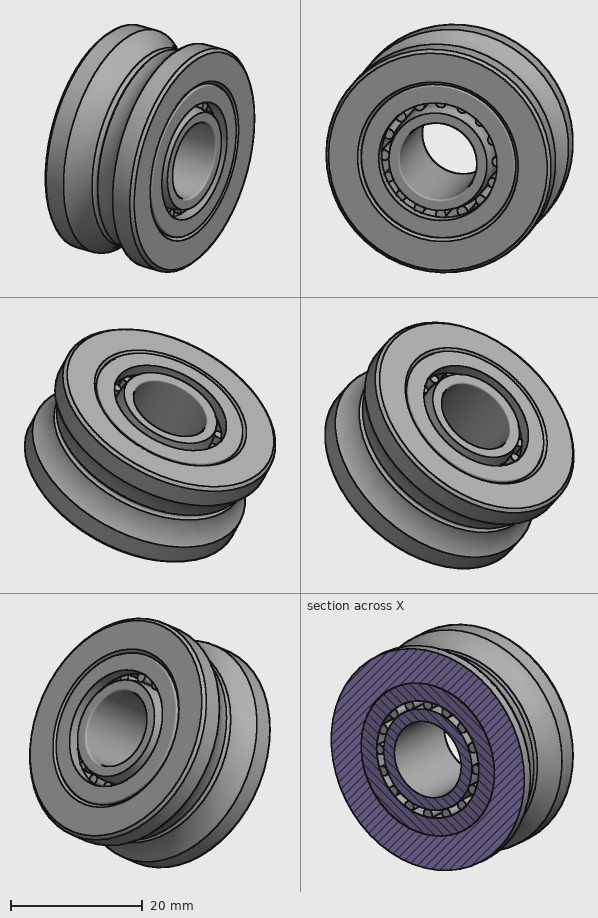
import cadquery as cq
import math


tyre_radius = 17.5
tyre_width = 16.0
tyre_edge_chamfer = 0.5
groove_half_width = 4.4
groove_arc_radius = 6.02
relief_radius = 0.5
seat_mouth_chamfer = 0.5

bearing_radius = 12.0
bearing_width = tyre_width
bearing_edge_fillet = 0.28
bore_radius = 6.0

lip_width = 2.0
race_width = bearing_width - 2 * lip_width
outer_lip_radius = 9.2
outer_race_radius = 9.5
inner_race_radius = 8.0
inner_face_radius = 7.63

roller_count = 16
roller_radius = 0.77
roller_pitch_radius = (outer_race_radius + inner_race_radius) / 2
roller_length = race_width


def cylinder(radius, width):
    """Cylinder along the X axis, centred on the origin."""
    return cq.Workplane("YZ", origin=(-width / 2, 0, 0)).circle(radius).extrude(width)


def torus_cutter(centre_radius, section_radius):
    """Torus around the X axis, in the middle plane of the tyre."""
    return (
        cq.Workplane("XY")
        .center(0, centre_radius)
        .circle(section_radius)
        .revolve(360, (0, -centre_radius), (1, -centre_radius))
    )


def make_tyre():
    """Chamfered ring with a round rail groove and a small relief along the groove's bottom."""
    blank = cylinder(tyre_radius, tyre_width).edges().chamfer(tyre_edge_chamfer)
    blank = blank.cut(cylinder(bearing_radius, tyre_width))
    blank = blank.edges(cq.selectors.RadiusNthSelector(0)).chamfer(seat_mouth_chamfer)

    groove_centre_radius = tyre_radius + math.sqrt(groove_arc_radius**2 - groove_half_width**2)
    groove_bottom_radius = groove_centre_radius - groove_arc_radius
    groove = torus_cutter(groove_centre_radius, groove_arc_radius)
    relief = torus_cutter(groove_bottom_radius, relief_radius)
    return blank.cut(groove).cut(relief)


def make_outer_ring():
    """Ring with rounded outer edges, lips at both ends and a wider raceway between them."""
    blank = cylinder(bearing_radius, bearing_width).edges().fillet(bearing_edge_fillet)
    return blank.cut(cylinder(outer_lip_radius, bearing_width)).cut(cylinder(outer_race_radius, race_width))


def make_inner_ring():
    """Ring with a straight raceway, tapered towards both end faces, and rounded bore edges."""
    half_width = bearing_width / 2
    half_race = race_width / 2
    blank = (
        cq.Workplane("XY")
        .moveTo(-half_width, bore_radius)
        .lineTo(-half_width, inner_face_radius)
        .lineTo(-half_race, inner_race_radius)
        .lineTo(half_race, inner_race_radius)
        .lineTo(half_width, inner_face_radius)
        .lineTo(half_width, bore_radius)
        .close()
        .revolve(360, (0, 0), (1, 0))
    )
    return blank.edges(cq.selectors.RadiusNthSelector(0)).fillet(bearing_edge_fillet)


def make_rollers():
    """Circle of rollers between the two raceways."""
    return (
        cq.Workplane("YZ", origin=(-roller_length / 2, 0, 0))
        .polarArray(roller_pitch_radius, 0, 360, roller_count)
        .circle(roller_radius)
        .extrude(roller_length)
    )


def make_bearing():
    """Outer ring, rollers and inner ring joined into one solid."""
    return make_outer_ring().union(make_rollers()).union(make_inner_ring())


tyre = make_tyre()
bearing = make_bearing()

result = cq.Compound.makeCompound([tyre.val(), *bearing.vals()])